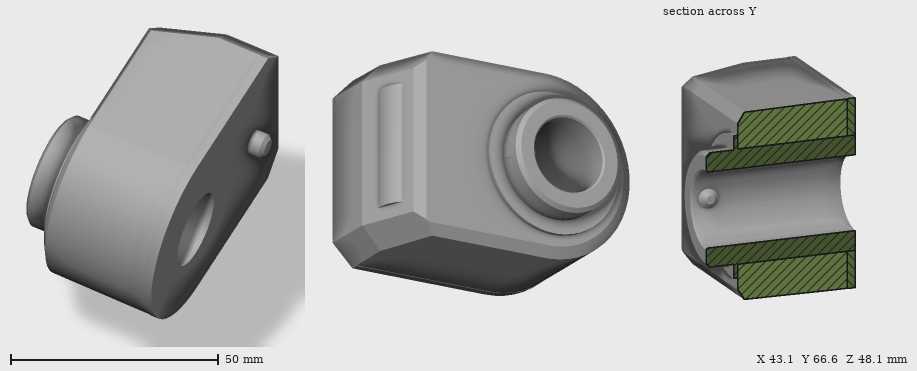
import cadquery as cq
import math

flange_front = 7.1
case_front = 8.25
bevel_end = 10.0
draft_end = 32.5
case_back = 36.95
plate_back = 39.1
pin_end = 43.15

plate_radius = 24.05
case_radius = 23.9
draft_front_radius = 23.65
front_face_radius = 20.9
top_y = 43.4
corner_bevel = 5.6
arc_center_y = 0.85
bevel_start_z = plate_radius - corner_bevel
outline_overshoot = 6.65

slope_back_x = 24.9
slope_bevel_shift = 0.5
slope_front_x = 9.85
slope_front_y = 37.9
front_face_top_y = 35.2
slope_gradient = (top_y - slope_front_y) / (slope_back_x - slope_front_x)

window_low_x = 13.05
window_high_x = 20.1
window_rise = 0.9
window_length = 30.25

hub_diameter = 29.0
flange_diameter = 36.1
bore_diameter = 19.05
hub_chamfer = 1.0
bore_chamfer = 0.45
screw_x = 4.3
screw_diameter = 5.0
screw_end_diameter = 4.1
screw_tip_y = 7.5
screw_cone_length = 1.4

pin_y = 30.0
pin_diameter = 6.1
pin_chamfer = 1.0


def x_cylinder(diameter, start, end):
    """Cylinder on the bore axis between two X stations."""
    return cq.Workplane("YZ", origin=(start, 0, 0)).circle(diameter / 2).extrude(end - start)


def blank_outline(x, radius, join_y):
    """Closed wire at station x: a round bottom meeting the straight sides at join_y."""
    blank_top = top_y + outline_overshoot
    return (
        cq.Workplane("YZ", origin=(x, 0, 0))
        .moveTo(blank_top, -radius)
        .lineTo(join_y, -radius)
        .threePointArc((arc_center_y - radius, 0), (join_y, radius))
        .lineTo(blank_top, radius)
        .close()
        .val()
    )


def blank_section(start, start_radius, end, end_radius, join_y=0):
    """Length of the case or plate blank between two X stations."""
    wires = [blank_outline(start, start_radius, join_y), blank_outline(end, end_radius, join_y)]
    return cq.Workplane(cq.Solid.makeLoft(wires, True))


def slope_y(x):
    """Height of the case top slope at station x."""
    return slope_front_y + slope_gradient * (x - slope_front_x)


def top_envelope(middle_profile, side_profile):
    """Block with one XY profile along the middle, narrowing evenly to another at both Z sides."""
    def profile_wire(z, profile):
        bottom_y = -plate_radius - outline_overshoot
        points = profile + [(profile[-1][0], bottom_y), (profile[0][0], bottom_y)]
        return cq.Workplane("XY", origin=(0, 0, z)).polyline(points).close().val()

    def block(start_z, start_profile, end_z, end_profile):
        wires = [profile_wire(start_z, start_profile), profile_wire(end_z, end_profile)]
        return cq.Workplane(cq.Solid.makeLoft(wires, True))

    middle = block(-bevel_start_z, middle_profile, bevel_start_z, middle_profile)
    upper = block(bevel_start_z, middle_profile, plate_radius, side_profile)
    lower = block(-plate_radius, side_profile, -bevel_start_z, middle_profile)
    return middle.union(upper).union(lower)


def make_window():
    """Arched bar along Z, standing proud of the slope and rooted on its chord."""
    angle = math.atan(slope_gradient)
    low = (window_low_x, slope_y(window_low_x))
    high = (window_high_x, slope_y(window_high_x))
    crest = (
        (low[0] + high[0]) / 2 - window_rise * math.sin(angle),
        (low[1] + high[1]) / 2 + window_rise * math.cos(angle),
    )
    return (
        cq.Workplane("XY")
        .moveTo(*low)
        .threePointArc(crest, high)
        .close()
        .extrude(window_length / 2, both=True)
    )


def make_case():
    blank = (
        blank_section(case_front, front_face_radius, bevel_end, draft_front_radius)
        .union(blank_section(bevel_end, draft_front_radius, draft_end, case_radius))
        .union(blank_section(draft_end, case_radius, case_back, case_radius))
    )
    middle_profile = [
        (case_front, slope_y(case_front)),
        (slope_back_x, top_y),
        (case_back, top_y),
    ]
    side_top = top_y - corner_bevel
    side_slope_back = slope_back_x + slope_bevel_shift
    side_profile = [
        (case_front, side_top - slope_gradient * (side_slope_back - case_front)),
        (side_slope_back, side_top),
        (case_back, side_top),
    ]
    front_bevel = (
        cq.Workplane("XY")
        .moveTo(case_front, front_face_top_y)
        .lineTo(slope_front_x, slope_front_y)
        .lineTo(case_front, slope_y(case_front))
        .close()
        .extrude(plate_radius, both=True)
    )
    hub_hole = x_cylinder(hub_diameter, case_front, case_back)
    trimmed = blank.intersect(top_envelope(middle_profile, side_profile)).cut(front_bevel)
    return trimmed.union(make_window()).cut(hub_hole)


def make_base_plate():
    """Plate behind the case, with the torque pin standing on its back."""
    blank = blank_section(case_back, plate_radius, plate_back, plate_radius, arc_center_y)
    side_top = top_y - corner_bevel
    envelope = top_envelope(
        [(case_back, top_y), (plate_back, top_y)], [(case_back, side_top), (plate_back, side_top)]
    )
    plate = blank.intersect(envelope)
    pin = (
        cq.Workplane("YZ", origin=(plate_back, pin_y, 0))
        .circle(pin_diameter / 2)
        .extrude(pin_end - plate_back)
        .faces(">X")
        .chamfer(pin_chamfer)
    )
    return plate.union(pin).cut(x_cylinder(hub_diameter, case_back, plate_back))


def make_screw():
    """Radial set screw: chamfered outer end at the hub surface, cone point in the bore."""
    screw_radius = screw_diameter / 2
    end_radius = screw_end_diameter / 2
    outer_y = hub_diameter / 2
    return (
        cq.Workplane("XY", origin=(screw_x, 0, 0))
        .moveTo(0, screw_tip_y)
        .lineTo(screw_radius - screw_cone_length, screw_tip_y)
        .lineTo(screw_radius, screw_tip_y + screw_cone_length)
        .lineTo(screw_radius, outer_y - (screw_radius - end_radius))
        .lineTo(end_radius, outer_y)
        .lineTo(0, outer_y)
        .close()
        .revolve(360, (0, 0, 0), (0, 1, 0))
    )


def make_hub():
    """Flanged hollow hub through the case and plate, carrying its set screw."""
    hub = x_cylinder(hub_diameter, 0, plate_back).faces("<X").chamfer(hub_chamfer)
    hub = hub.union(x_cylinder(flange_diameter, flange_front, case_front))
    hub = hub.cut(x_cylinder(bore_diameter, 0, plate_back))
    bore_mouth = hub.faces("<X").edges(cq.selectors.RadiusNthSelector(0))
    hub = bore_mouth.chamfer(bore_chamfer)
    return hub.union(make_screw())


case = make_case()
base_plate = make_base_plate()
hub = make_hub()

result = cq.Compound.makeCompound([case.val(), base_plate.val(), hub.val()])